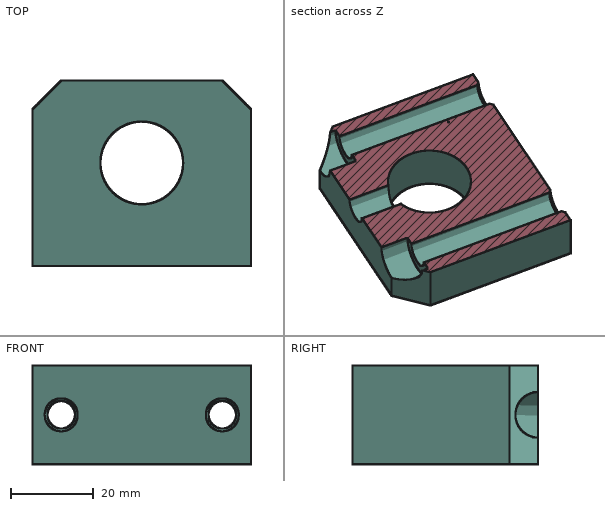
import cadquery as cq

width = 53.0
depth = 45.0
height = 24.0
corner_cut = 7.0

bore_diameter = 20.0
bore_from_front = 25.0

hole_diameter = 6.6
hole_from_side = corner_cut
hole_x = width / 2 - hole_from_side
countersink_diameter = 8.0
counterbore_diameter = 11.0
counterbore_depth = corner_cut

cross_hole_diameter = 6.6


def cylinder_along_y(x, y_start, length, diameter):
    """Cylinder at mid height, growing toward +Y from y_start."""
    return cq.Workplane(cq.Solid.makeCylinder(
        diameter / 2, length, cq.Vector(x, y_start, 0), cq.Vector(0, 1, 0)))


def screw_hole(x):
    """Through hole, countersunk at the front and counterbored at the back."""
    countersink_depth = (countersink_diameter - hole_diameter) / 2
    countersink = cq.Workplane(cq.Solid.makeCone(
        countersink_diameter / 2, hole_diameter / 2, countersink_depth,
        cq.Vector(x, 0, 0), cq.Vector(0, 1, 0)))
    shank = cylinder_along_y(x, 0, depth, hole_diameter)
    counterbore = cylinder_along_y(
        x, depth - counterbore_depth, counterbore_depth, counterbore_diameter)
    return shank.union(countersink).union(counterbore)


block = cq.Workplane("XY").box(width, depth, height).translate((0, depth / 2, 0))
block = block.faces(">Y").edges("|Z").chamfer(corner_cut)

bore = cq.Workplane("XY").center(0, bore_from_front).circle(bore_diameter / 2).extrude(height / 2, both=True)
result = block.cut(bore)

for x in (-hole_x, hole_x):
    result = result.cut(screw_hole(x))

cross_hole = cylinder_along_y(0, bore_from_front, depth - bore_from_front, cross_hole_diameter)
result = result.cut(cross_hole)